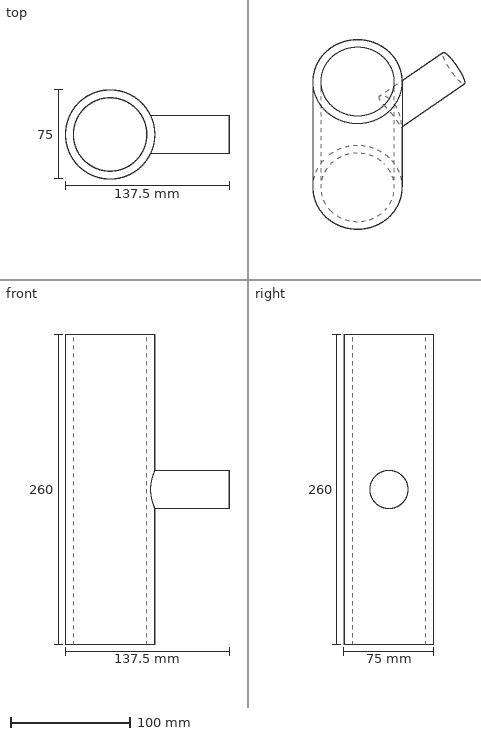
import cadquery as cq

pipe_diameter = 75.0
pipe_wall = 6.8
pipe_length = 260.0

branch_diameter = 32.0
branch_reach = 100.0

bore_diameter = pipe_diameter - 2 * pipe_wall


def upright_cylinder(diameter):
    """Full-length cylinder on the Z axis, centred on the origin."""
    return cq.Workplane("XY").circle(diameter / 2).extrude(pipe_length / 2, both=True)


def side_branch():
    """Round stub from the pipe axis out to the branch end face."""
    return cq.Workplane("YZ").circle(branch_diameter / 2).extrude(branch_reach)


result = (
    upright_cylinder(pipe_diameter)
    .union(side_branch())
    .cut(upright_cylinder(bore_diameter))
)